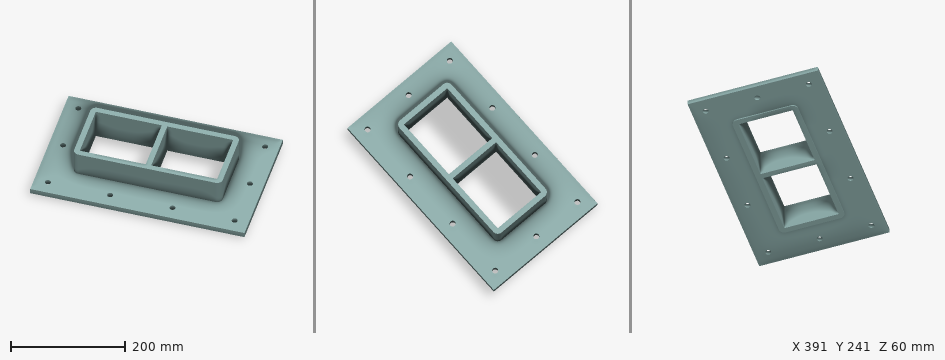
import cadquery as cq

plate_length = 391.0
plate_width = 241.0
plate_thickness = 10.0

frame_length = 271.0
frame_width = 121.0
frame_height = 60.0
frame_corner_radius = 10.0
wall = 10.0
frame_below_plate = 2.5

hole_diameter = 10.5
hole_edge_distance = 25.0
holes_along_length = 4
holes_along_width = 3

window_length = (frame_length - 3 * wall) / 2
window_width = frame_width - 2 * wall
window_pitch = window_length + wall

hole_span_x = plate_length - 2 * hole_edge_distance
hole_span_y = plate_width - 2 * hole_edge_distance
hole_pitch_x = hole_span_x / (holes_along_length - 1)
hole_pitch_y = hole_span_y / (holes_along_width - 1)


def perimeter_hole_points():
    """Grid positions that lie on the outer rows and columns."""
    points = []
    for column in range(holes_along_length):
        for row in range(holes_along_width):
            on_end_column = column in (0, holes_along_length - 1)
            on_end_row = row in (0, holes_along_width - 1)
            if on_end_column or on_end_row:
                x = column * hole_pitch_x - hole_span_x / 2
                y = row * hole_pitch_y - hole_span_y / 2
                points.append((x, y))
    return points


def make_plate():
    """Flat plate with its bolt holes, underside at frame_below_plate."""
    plate = (
        cq.Workplane("XY")
        .workplane(offset=frame_below_plate)
        .rect(plate_length, plate_width)
        .extrude(plate_thickness)
    )
    return plate.faces(">Z").workplane().pushPoints(perimeter_hole_points()).hole(hole_diameter)


def make_frame_block():
    """Solid block with rounded vertical corners, standing on Z = 0."""
    block = cq.Workplane("XY").rect(frame_length, frame_width).extrude(frame_height)
    return block.edges("|Z").fillet(frame_corner_radius)


def make_windows():
    """Two sharp-cornered openings through the full frame height."""
    return (
        cq.Workplane("XY")
        .pushPoints([(-window_pitch / 2, 0), (window_pitch / 2, 0)])
        .rect(window_length, window_width)
        .extrude(frame_height)
    )


result = make_plate().union(make_frame_block()).cut(make_windows())